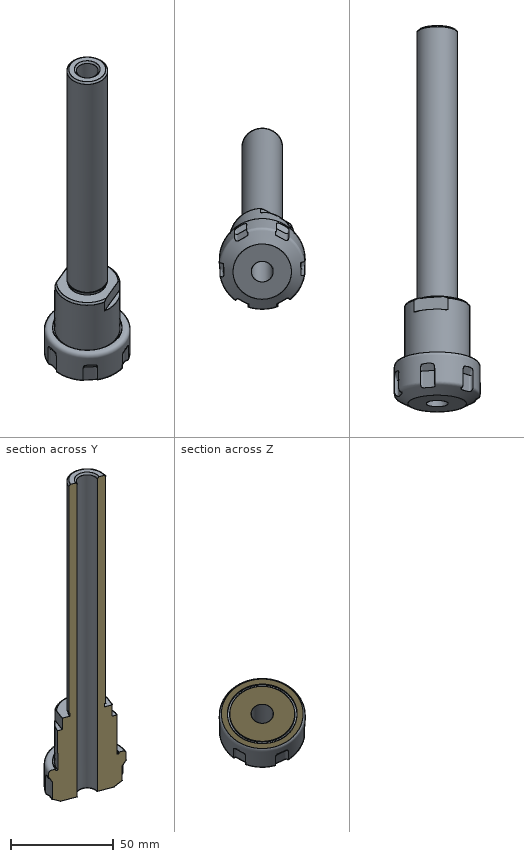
import cadquery as cq
import math

total_height = 190.0
bore_radius = 5.3
bore_chamfer = 1.0

shank_diameter = 20.0
shank_radius = shank_diameter / 2
shank_chamfer = 1.0
neck_radius = 9.5
neck_height = 1.7

body_radius = 16.0
body_top = 50.2
body_chamfer = 1.0
flat_distance = 27.0
flat_height = 6.8

nut_diameter = 42.0
nut_radius = nut_diameter / 2
nut_top = 20.5
nut_fillet = 2.0
nut_face_radius = 14.2
nut_cone_angle = 30.0
nut_edge_fillet = 1.9
nut_recess_radius = 17.0
nut_recess_depth = 1.0

slot_count = 6
short_slots = (0, 1, 5)
slot_width = 7.0
slot_floor_radius = 18.8
tall_slot_top = 16.5
short_slot_top = 14.5
slot_top_drop = 3.2
slot_corner_fillet = 1.0
slot_overcut = 1.9


def make_holder():
    """Shank, neck and body as one turned profile."""
    neck_top = body_top + neck_height
    return (
        cq.Workplane("XZ")
        .moveTo(0, 0)
        .lineTo(nut_face_radius, 0)
        .lineTo(body_radius, nut_top / 2)
        .lineTo(body_radius, body_top - body_chamfer)
        .lineTo(body_radius - body_chamfer, body_top)
        .lineTo(neck_radius, body_top)
        .lineTo(neck_radius, neck_top)
        .lineTo(shank_radius, neck_top)
        .lineTo(shank_radius, total_height - shank_chamfer)
        .lineTo(shank_radius - shank_chamfer, total_height)
        .lineTo(0, total_height)
        .close()
        .revolve(360, (0, 0, 0), (0, 1, 0))
    )


def cut_flats(holder):
    """Two parallel wrench flats at the top of the body, facing -X and +X."""
    flat_bottom = body_top - flat_height
    cutter_center = (flat_distance + body_radius) / 2
    for side in (-1, 1):
        cutter = (
            cq.Workplane("XY", origin=(side * cutter_center, 0, flat_bottom))
            .box(body_radius, 2 * body_radius, flat_height, centered=(True, True, False))
        )
        holder = holder.cut(cutter)
    return holder


def make_slot_cutter(slot_top):
    """Slot open at the nut's rim and bottom, with a roof that falls toward the floor."""
    outer_radius = nut_radius + slot_overcut
    roof_slope = slot_top_drop / (nut_radius - slot_floor_radius)
    return (
        cq.Workplane("XZ", origin=(0, slot_width / 2, 0))
        .moveTo(slot_floor_radius, -slot_overcut)
        .lineTo(outer_radius, -slot_overcut)
        .lineTo(outer_radius, slot_top + roof_slope * slot_overcut)
        .lineTo(slot_floor_radius, slot_top - slot_top_drop)
        .close()
        .extrude(slot_width)
        .faces("<X or >Z")
        .edges("not(|Y)")
        .edges("<Y or >Y")
        .fillet(slot_corner_fillet)
    )


def make_nut():
    """Round nut with a conical lower face, rounded rims and a recess around the body."""
    cone_height = (nut_radius - nut_face_radius) * math.tan(math.radians(nut_cone_angle))
    nut = (
        cq.Workplane("XZ")
        .moveTo(0, 0)
        .lineTo(nut_face_radius, 0)
        .lineTo(nut_radius, cone_height)
        .lineTo(nut_radius, nut_top)
        .lineTo(0, nut_top)
        .close()
        .revolve(360, (0, 0, 0), (0, 1, 0))
    )
    nut = nut.edges(">Z").fillet(nut_fillet)
    lower_rim = cq.selectors.BoxSelector(
        (-2 * nut_radius, -2 * nut_radius, cone_height / 2),
        (2 * nut_radius, 2 * nut_radius, nut_top / 2),
    )
    nut = nut.edges(lower_rim).edges("%CIRCLE").fillet(nut_edge_fillet)
    recess = cq.Workplane("XY", origin=(0, 0, nut_top - nut_recess_depth)).circle(nut_recess_radius)
    nut = nut.cut(recess.extrude(nut_recess_depth))
    for index in range(slot_count):
        slot_top = short_slot_top if index in short_slots else tall_slot_top
        angle = index * 360 / slot_count
        nut = nut.cut(make_slot_cutter(slot_top).rotate((0, 0, 0), (0, 0, 1), angle))
    return nut


def cut_bore(part):
    """Through bore with a chamfered mouth at the shank end."""
    bore = cq.Workplane("XY").circle(bore_radius).extrude(total_height)
    mouth_bottom = (0, 0, total_height - bore_chamfer)
    mouth = cq.Solid.makeCone(bore_radius, bore_radius + bore_chamfer, bore_chamfer, pnt=mouth_bottom)
    return part.cut(bore).cut(cq.Workplane(mouth))


result = cut_bore(cut_flats(make_holder()).union(make_nut()))